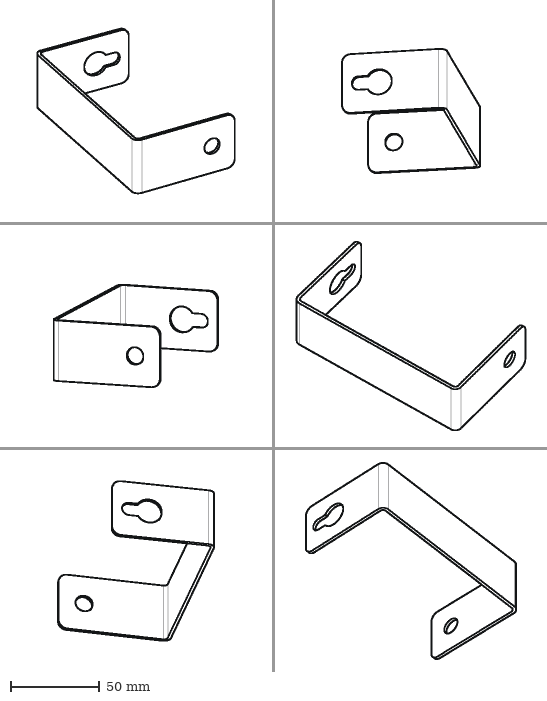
import cadquery as cq
import math

width = 115.9
depth = 65.0
height = 35.0
thickness = 2.0
bend_radius = 4.0
corner_radius = 5.0
left_leg_length = 55.9
right_leg_length = depth - bend_radius
lean_angle = 1.0

hole_y = 50.2
hole_diameter = 10.0
keyhole_y = 38.6
keyhole_diameter = 15.0
keyhole_slot_width = 8.0
cutter_reach = 2 * thickness

bend_x = width / 2 - bend_radius
bend_y = bend_radius


def hole_cutter(x, y, diameter):
    """Round cutter along X, long enough to cross one leg."""
    return (
        cq.Workplane("YZ", origin=(x, y, 0))
        .circle(diameter / 2)
        .extrude(cutter_reach, both=True)
    )


def leg(outer_x, inward, length):
    """Square-standing leg with its two tip corners rounded."""
    return (
        cq.Workplane("XY")
        .box(thickness, length, height)
        .edges(">Y and |X")
        .fillet(corner_radius)
        .translate((outer_x + inward * thickness / 2, bend_y + length / 2, 0))
    )


def bend(start_x, angle):
    """Bent corner turned about Z from one end of the back; positive is counterclockwise."""
    section = cq.Workplane("YZ", origin=(start_x, 0, 0)).center(thickness / 2, 0).rect(thickness, height)
    offset = bend_y - thickness / 2
    return section.revolve(abs(angle), (offset, 0, 0), (offset, math.copysign(1, angle), 0))


def right_leg():
    plate = leg(width / 2, -1, right_leg_length)
    return plate.cut(hole_cutter(width / 2, hole_y, hole_diameter))


def left_leg():
    plate = leg(-width / 2, 1, left_leg_length)
    slot = (
        cq.Workplane("XY")
        .box(2 * cutter_reach, hole_y - keyhole_y, keyhole_slot_width)
        .translate((-width / 2, (hole_y + keyhole_y) / 2, 0))
    )
    plate = plate.cut(hole_cutter(-width / 2, keyhole_y, keyhole_diameter))
    plate = plate.cut(slot).cut(hole_cutter(-width / 2, hole_y, keyhole_slot_width))
    return plate.rotate((-bend_x, bend_y, 0), (-bend_x, bend_y, 1), -lean_angle)


back = cq.Workplane("XY").box(2 * bend_x, thickness, height).translate((0, thickness / 2, 0))

result = (
    back.union(bend(bend_x, 90))
    .union(bend(-bend_x, -(90 + lean_angle)))
    .union(right_leg())
    .union(left_leg())
)